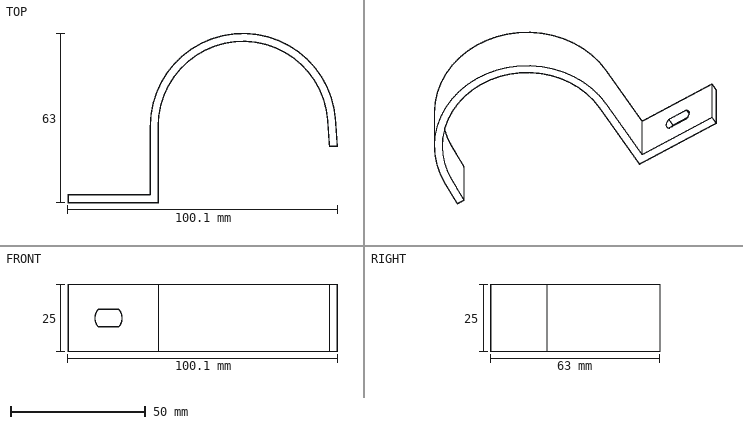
import cadquery as cq
import math

strap_width = 25.0
thickness = 3.0
pipe_diameter = 63.0
overall_depth = 63.0
tab_length = 33.5
leg_tip_height = 21.0
leg_flare_angle = 4.0

hole_diameter = 10.0
hole_height = 6.4
hole_offset = 15.0

inner_radius = pipe_diameter / 2
outer_radius = inner_radius + thickness
wall_outer_x = tab_length - thickness
center_x = tab_length + inner_radius
center_y = overall_depth - outer_radius
flare = math.radians(leg_flare_angle)


def arc_point(radius, angle):
    """Point on a hook arc, with the angle measured from +X."""
    return (center_x + radius * math.cos(angle), center_y + radius * math.sin(angle))


def leg_tip(radius):
    """End of the straight leg that leaves the arc tangentially at the flare angle."""
    drop = center_y - leg_tip_height
    return (center_x + radius / math.cos(flare) + drop * math.tan(flare), leg_tip_height)


def make_strap():
    """Bent strap: flat tab, upright wall, round hook and flared leg."""
    outline = (
        cq.Workplane("XY")
        .moveTo(0, 0)
        .lineTo(tab_length, 0)
        .lineTo(tab_length, center_y)
        .threePointArc(arc_point(inner_radius, math.pi / 2), arc_point(inner_radius, flare))
        .lineTo(*leg_tip(inner_radius))
        .lineTo(*leg_tip(outer_radius))
        .lineTo(*arc_point(outer_radius, flare))
        .threePointArc(arc_point(outer_radius, math.pi / 2), (wall_outer_x, center_y))
        .lineTo(wall_outer_x, thickness)
        .lineTo(0, thickness)
        .close()
    )
    return outline.extrude(strap_width)


def make_mounting_hole():
    """Cutter through the tab: a cylinder along Y trimmed to the hole height."""
    hole_plane = cq.Workplane("XZ", origin=(hole_offset, thickness, strap_width / 2))
    round_cutter = hole_plane.circle(hole_diameter / 2).extrude(thickness)
    flat_limits = hole_plane.rect(hole_diameter, hole_height).extrude(thickness)
    return round_cutter.intersect(flat_limits)


result = make_strap().cut(make_mounting_hole())